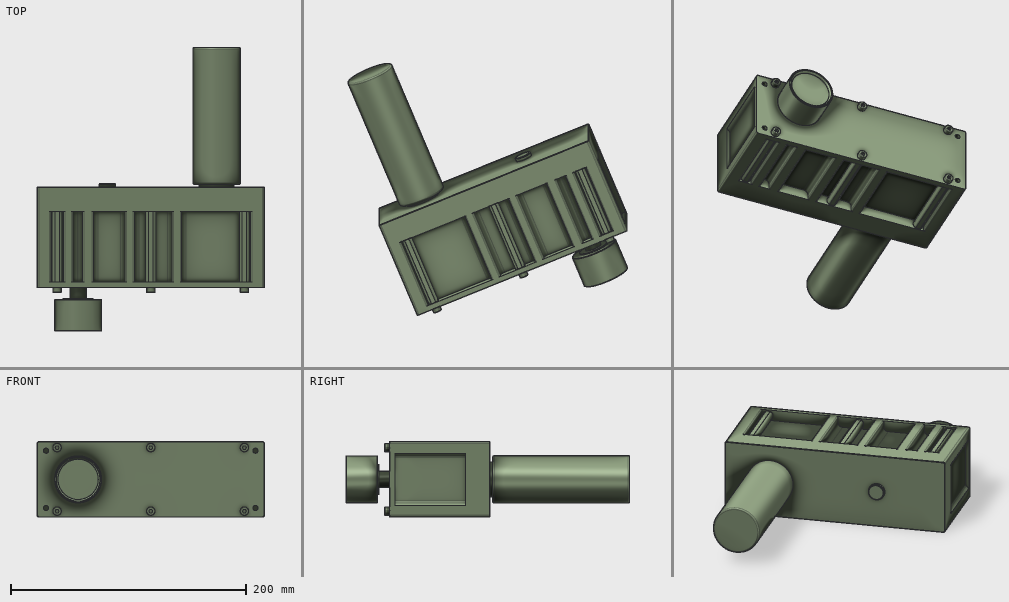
import cadquery as cq
import math

overall_length = 241

housing_width = 193.0
housing_depth = 85.3
housing_height = 64.0
corner_radius = 1.7
back_edge_chamfer = 0.5
front_wall = 4.5
cover_depth = 20.7
half_width = housing_width / 2
half_height = housing_height / 2
pocket_length = housing_depth - cover_depth - front_wall

pocket_spans = [(-86.0, -73.0), (-67.2, -56.6), (-50.0, -20.7), (-15.0, 19.3), (25.0, 86.0)]
pocket_lip_radius = 1.2
pocket_floor_radius = 3.9

screw_spacing = 79.5
screw_columns = (-screw_spacing, 0, screw_spacing)
screw_z = 27.0
boss_radius = 4.3
boss_flat_half_width = 2.0
boss_flat_z = screw_z + math.sqrt(boss_radius**2 - boss_flat_half_width**2)
pocket_floor_z = screw_z - boss_radius
screw_head_radius = 3.5
screw_head_length = 4.0
screw_head_fillet = 0.5
socket_across_corners = 3.4
socket_sides = 6
socket_depth = 2.5

side_pocket_half_height = 22.2
side_pocket_depth = 3.0
side_pocket_fillet = 2.2

mount_hole_x = 89.0
mount_hole_z = 24.3
mount_hole_radius = 2.2
mount_hole_depth = 7.2

shaft_radius = 7.0
rear_shaft_x = -36.9
rear_shaft_length = 3.1
rear_shaft_chamfer = 0.7

knob_x = -61.7
knob_radius = 20.0
knob_back_y = -10.1
knob_front_y = -37.0
knob_edge_chamfer = 0.5
knob_hub_radius = 12.8
knob_hub_length = 1.0
knob_recess_radius = 18.5
knob_recess_floor_radius = 17.0
knob_recess_depth = 2.0

motor_x = 56.0
motor_radius = 20.2
motor_front_y = 87.5
motor_back_y = knob_front_y + overall_length
motor_front_fillet = 1.7
motor_back_fillet = 1.2
motor_collar_radius = 15.0


def cylinder(x, z, radius, y_start, y_end):
    """Solid cylinder parallel to Y."""
    base = cq.Workplane("XZ", origin=(x, y_start, z))
    return base.circle(radius).extrude(y_start - y_end)


def pocket_sketch(left, right):
    """Section of an upper pocket: rounded lips, straight walls, rounded floor corners."""
    lip = pocket_lip_radius
    fillet = pocket_floor_radius
    slant = math.sqrt(0.5)
    wall_left = left + lip
    wall_right = right - lip
    lip_z = half_height - lip
    fillet_z = pocket_floor_z + fillet
    return (
        cq.Workplane("XZ", origin=(0, front_wall, 0))
        .moveTo(left, half_height)
        .threePointArc((left + lip * slant, lip_z + lip * slant), (wall_left, lip_z))
        .lineTo(wall_left, fillet_z)
        .threePointArc(
            (wall_left + fillet * (1 - slant), fillet_z - fillet * slant),
            (wall_left + fillet, pocket_floor_z),
        )
        .lineTo(wall_right - fillet, pocket_floor_z)
        .threePointArc(
            (wall_right - fillet * (1 - slant), fillet_z - fillet * slant),
            (wall_right, fillet_z),
        )
        .lineTo(wall_right, lip_z)
        .threePointArc((right - lip * slant, lip_z + lip * slant), (right, half_height))
        .close()
    )


def screw_boss(x):
    """Round boss resting on the pocket floor, flattened on its outer side."""
    boss = cylinder(x, screw_z, boss_radius, front_wall, front_wall + pocket_length)
    keep = cq.Workplane("XY").box(
        2 * boss_radius, housing_depth, boss_flat_z, centered=(True, False, False)
    )
    return boss.intersect(keep.translate((x, 0, 0)))


def upper_pockets():
    """Material removed from the upper face, leaving the screw bosses."""
    cut = cq.Workplane("XY")
    for left, right in pocket_spans:
        cut = cut.add(pocket_sketch(left, right).extrude(-pocket_length))
    cut = cut.combine()
    for x in screw_columns:
        cut = cut.cut(screw_boss(x))
    return cut


def side_pocket():
    """Material removed from the -X end face."""
    floor_half_height = side_pocket_half_height - side_pocket_depth
    floor_x = -half_width + side_pocket_depth
    outline = [
        (-half_width, -side_pocket_half_height),
        (floor_x, -floor_half_height),
        (floor_x, floor_half_height),
        (-half_width, side_pocket_half_height),
    ]
    pocket = cq.Workplane("XZ", origin=(0, front_wall, 0)).polyline(outline).close()
    pocket = pocket.extrude(-pocket_length)
    return pocket.edges("|Y").edges(">X").fillet(side_pocket_fillet)


def make_housing():
    body = cq.Workplane("XY").box(
        housing_width, housing_depth, housing_height, centered=(True, False, True)
    )
    body = body.edges("|Y").fillet(corner_radius)
    body = body.faces(">Y").chamfer(back_edge_chamfer)
    upper = upper_pockets()
    side = side_pocket()
    body = body.cut(upper).cut(upper.mirror("XY"))
    body = body.cut(side).cut(side.mirror("YZ"))
    for x in (-mount_hole_x, mount_hole_x):
        for z in (-mount_hole_z, mount_hole_z):
            body = body.cut(cylinder(x, z, mount_hole_radius, 0, mount_hole_depth))
    return body


def make_screw_head(x, z):
    """Cap screw head with a hexagon socket."""
    head = cylinder(x, z, screw_head_radius, 0, -screw_head_length)
    head = head.faces("<Y").edges().fillet(screw_head_fillet)
    socket = cq.Workplane("XZ", origin=(x, -screw_head_length, z))
    socket = socket.polygon(socket_sides, socket_across_corners).extrude(-socket_depth)
    return head.cut(socket)


def make_knob():
    """Knob with a hub, a shaft and a shallow tapered recess in its front face."""
    knob = cylinder(knob_x, 0, knob_radius, knob_back_y, knob_front_y)
    knob = knob.edges().chamfer(knob_edge_chamfer)
    recess = (
        cq.Workplane("XZ", origin=(knob_x, knob_front_y, 0))
        .circle(knob_recess_radius)
        .workplane(offset=-knob_recess_depth)
        .circle(knob_recess_floor_radius)
        .loft()
    )
    hub = cylinder(knob_x, 0, knob_hub_radius, knob_back_y + knob_hub_length, knob_back_y)
    shaft = cylinder(knob_x, 0, shaft_radius, 0, knob_back_y)
    return knob.cut(recess).union(hub).union(shaft)


def make_rear_shaft():
    end_y = housing_depth + rear_shaft_length
    shaft = cylinder(rear_shaft_x, 0, shaft_radius, housing_depth, end_y)
    return shaft.faces(">Y").chamfer(rear_shaft_chamfer)


def make_motor():
    motor = cylinder(motor_x, 0, motor_radius, motor_front_y, motor_back_y)
    motor = motor.faces("<Y").edges().fillet(motor_front_fillet)
    motor = motor.faces(">Y").edges().fillet(motor_back_fillet)
    collar = cylinder(motor_x, 0, motor_collar_radius, housing_depth, motor_front_y)
    return motor.union(collar)


result = make_housing().union(make_knob()).union(make_rear_shaft()).union(make_motor())
for screw_x in screw_columns:
    for side_z in (-screw_z, screw_z):
        result = result.union(make_screw_head(screw_x, side_z))